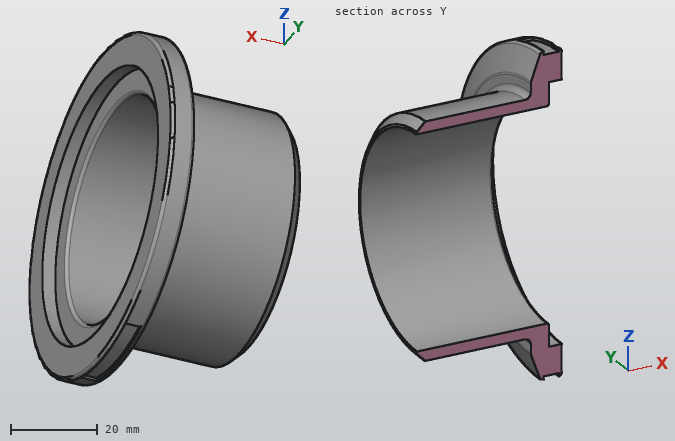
import cadquery as cq
import math


total_length = 38.1
bore_diameter = 54.61
tube_diameter = 60.45
weld_chamfer = 2.25

seat_diameter = 66.55
seat_depth = 3.3
bore_mouth_fillet = 0.79

flange_diameter = 82.55
flange_thickness = 8.2
shoulder_diameter = 68.4
cone_angle = 20.0
root_fillet = 1.5
shoulder_blend = 1.5
rim_fillet = 0.79

recess_length = 25.4
recess_depth = 0.76
recess_width = 3.9

bore_radius = bore_diameter / 2
tube_radius = tube_diameter / 2
flange_radius = flange_diameter / 2
shoulder_radius = shoulder_diameter / 2
seat_radius = seat_diameter / 2
seat_x = total_length - seat_depth

shoulder_x = total_length - flange_thickness
cone_length = (flange_radius - shoulder_radius) * math.tan(math.radians(cone_angle))
rim_start_x = shoulder_x + cone_length
recess_end_x = total_length - rim_fillet
recess_start_x = recess_end_x - recess_width


def fillet_circle(body, x, radius, fillet_radius):
    """Round the circular edge that lies at the given axial position and radius."""
    margin = 0.05
    reach = radius + margin
    selector = cq.selectors.BoxSelector((x - margin, -reach, -reach), (x + margin, reach, reach), True)
    edges = body.edges(selector).edges(cq.selectors.RadiusNthSelector(-1))
    return edges.fillet(fillet_radius)


def make_body():
    """Revolve the half section about the X axis, then round its edges."""
    profile = [
        (0, bore_radius),
        (0, tube_radius - weld_chamfer),
        (weld_chamfer, tube_radius),
        (shoulder_x, tube_radius),
        (shoulder_x, shoulder_radius),
        (rim_start_x, flange_radius),
        (total_length, flange_radius),
        (total_length, seat_radius),
        (seat_x, seat_radius),
        (seat_x, bore_radius),
    ]
    body = cq.Workplane("XY").polyline(profile).close().revolve(360, (0, 0, 0), (1, 0, 0))
    rounded_edges = [
        (shoulder_x, shoulder_radius, shoulder_blend),
        (shoulder_x, tube_radius, root_fillet),
        (rim_start_x, flange_radius, rim_fillet),
        (total_length, flange_radius, rim_fillet),
        (seat_x, bore_radius, bore_mouth_fillet),
    ]
    for x, radius, fillet_radius in rounded_edges:
        body = fillet_circle(body, x, radius, fillet_radius)
    return body


def make_recess_cutter():
    """Ring segments at the top and bottom of the rim, with floors concentric to it."""
    cutter_radius = flange_radius + recess_depth
    ring = (
        cq.Workplane("YZ", origin=(recess_start_x, 0, 0))
        .circle(cutter_radius)
        .circle(flange_radius - recess_depth)
        .extrude(recess_width)
    )
    strip = (
        cq.Workplane("YZ", origin=(recess_start_x, 0, 0))
        .rect(recess_length, 2 * cutter_radius)
        .extrude(recess_width)
    )
    return ring.intersect(strip)


result = make_body().cut(make_recess_cutter())